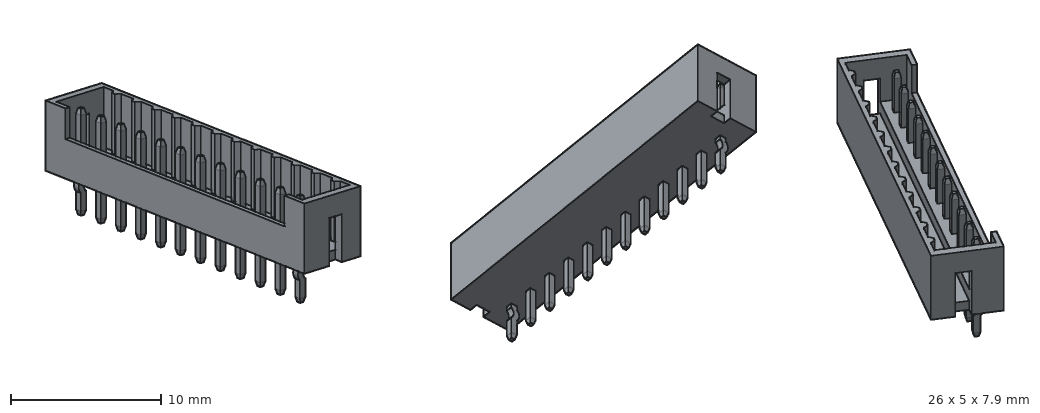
import cadquery as cq

length = 26.0
depth = 5.0
height = 5.0
total_height = 7.9

side_wall = 0.4
end_wall = 0.65
rear_floor = 0.7
front_floor = 1.6

pin_count = 12
pitch = length / (pin_count + 1)
pin_width = 0.5
pin_tip_width = 0.29
pin_taper = 0.4
pin_top = 4.68
pin_bottom = height - total_height
pin_y = -depth / 2 + 1.4
pin_positions = [(i - (pin_count - 1) / 2) * pitch for i in range(pin_count)]

kink_z = -0.78
kink_front_height = 0.94
kink_front_bulge = 0.18
kink_rear_height = 0.88
kink_rear_dent = 0.2

window_sill = 2.8
window_width = (pin_count - 1) * pitch

slot_width = 1.12
slot_top = 3.4
slot_front = -depth / 2 + 2.2

rib_root = 0.8
rib_crest = 0.3
rib_rise = 0.35

inner_length = length - 2 * end_wall
inner_front = -depth / 2 + side_wall
inner_rear = depth / 2 - side_wall


def block(x_range, y_range, z_range):
    """Axis-aligned box between the given limits."""
    spans = [high - low for low, high in (x_range, y_range, z_range)]
    corner = (x_range[0], y_range[0], z_range[0])
    return cq.Workplane("XY").box(*spans, centered=False).translate(corner)


def make_housing():
    """Open-topped shroud with a raised front floor, a window and end slots."""
    half_inner = inner_length / 2
    half_window = window_width / 2
    inner_x = (-half_inner, half_inner)
    body = block((-length / 2, length / 2), (-depth / 2, depth / 2), (0, height))
    body = body.cut(block(inner_x, (slot_front, inner_rear), (rear_floor, height)))
    body = body.cut(block(inner_x, (inner_front, slot_front), (front_floor, height)))
    window_x = (-half_window, half_window)
    body = body.cut(block(window_x, (-depth / 2, inner_front), (window_sill, height)))
    slot_y = (slot_front, slot_front + slot_width)
    for end_x in ((-length / 2, -half_inner), (half_inner, length / 2)):
        body = body.cut(block(end_x, slot_y, (0, slot_top)))
    return body


def make_rib(x):
    """Trapezoidal rib standing on the rear floor against the rear wall."""
    crest_y = inner_rear - rib_rise
    outline = [
        (x - rib_root / 2, inner_rear),
        (x - rib_crest / 2, crest_y),
        (x + rib_crest / 2, crest_y),
        (x + rib_root / 2, inner_rear),
    ]
    rib = cq.Workplane("XY").workplane(offset=rear_floor).polyline(outline).close()
    return rib.extrude(height - rear_floor)


def make_tip(x, base_z, tip_z):
    """Square pyramid frustum ending a pin."""
    base = cq.Workplane("XY", origin=(x, pin_y, base_z)).rect(pin_width, pin_width)
    return base.workplane(offset=tip_z - base_z).rect(pin_tip_width, pin_tip_width).loft()


def make_pin(x):
    """Straight square pin with both ends tapered."""
    low = pin_bottom + pin_taper
    high = pin_top - pin_taper
    half = pin_width / 2
    shank = block((x - half, x + half), (pin_y - half, pin_y + half), (low, high))
    return shank.union(make_tip(x, high, pin_top)).union(make_tip(x, low, pin_bottom))


def make_kink_segment(x, face_y, arc_height, arc_rise):
    """Circular segment as wide as a pin, bowing towards -Y from the given face."""
    plane = cq.Workplane("YZ", origin=(x, 0, 0))
    outline = plane.moveTo(face_y, kink_z - arc_height / 2)
    outline = outline.threePointArc((face_y - arc_rise, kink_z), (face_y, kink_z + arc_height / 2))
    return outline.close().extrude(pin_width / 2, both=True)


def make_kinked_pin(x):
    """Pin bowed forwards just below the housing."""
    bulge = make_kink_segment(x, pin_y - pin_width / 2, kink_front_height, kink_front_bulge)
    dent = make_kink_segment(x, pin_y + pin_width / 2, kink_rear_height, kink_rear_dent)
    return make_pin(x).union(bulge).cut(dent)


result = make_housing()
for pin_x in pin_positions:
    result = result.union(make_rib(pin_x))
for pin_x in pin_positions[1:-1]:
    result = result.union(make_pin(pin_x))
for pin_x in (pin_positions[0], pin_positions[-1]):
    result = result.union(make_kinked_pin(pin_x))